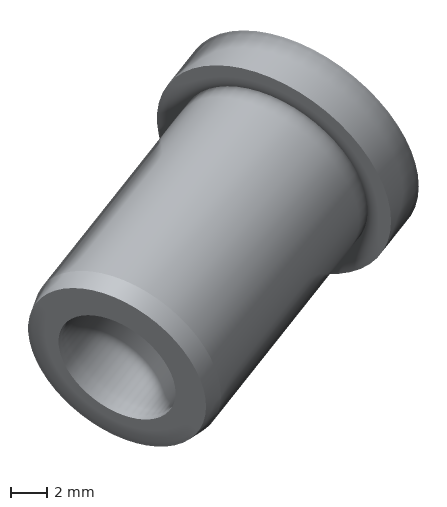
import cadquery as cq
import math

total_length = 20.0
flange_diameter = 15.0
flange_thickness = 3.0
body_diameter = 12.0
bore_diameter = 7.5

taper_depth = 0.3
taper_angle = 15.0
taper_length = taper_depth / math.tan(math.radians(taper_angle))

bore_radius = bore_diameter / 2
body_radius = body_diameter / 2
flange_radius = flange_diameter / 2
shoulder_y = total_length - flange_thickness

half_section = (
    cq.Workplane("XY")
    .moveTo(bore_radius, 0)
    .lineTo(body_radius - taper_depth, 0)
    .lineTo(body_radius, taper_length)
    .lineTo(body_radius, shoulder_y)
    .lineTo(flange_radius, shoulder_y)
    .lineTo(flange_radius, total_length)
    .lineTo(bore_radius, total_length)
    .close()
)

result = half_section.revolve(360, (0, 0, 0), (0, 1, 0))